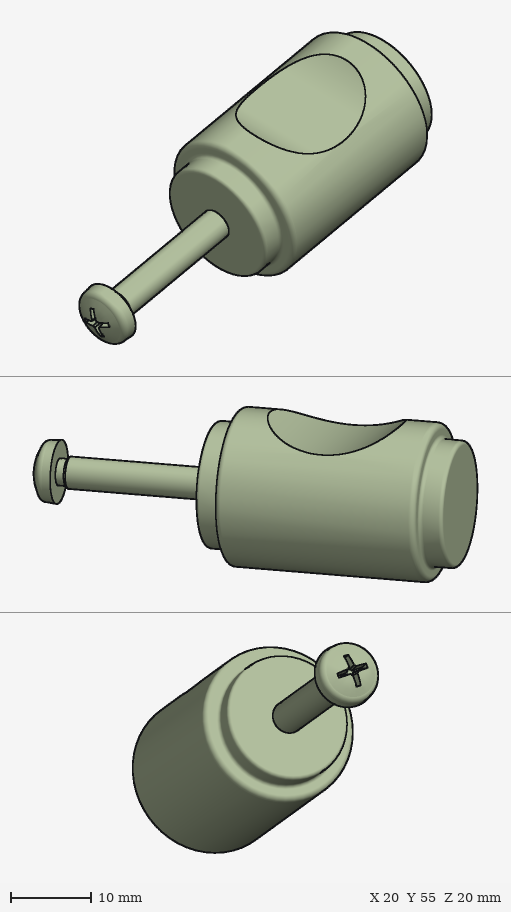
import cadquery as cq
import math

total_length = 55.05
barrel_radius = 9.995
collar_radius = 8.0
knob_length = 32.0
collar_length = 3.05
barrel_fillet = 0.75
collar_fillet = 0.5

dish_depth = 2.9
dish_radius = 14.3

shank_radius = 2.05
neck_radius = 1.7
neck_length = 1.05
shank_chamfer = shank_radius - neck_radius
engagement = 9.9
head_radius = 4.0
rim_radius = 3.9
dome_radius = 3.25
head_height = 3.1
rim_height = 1.15
dome_start = 2.15
rim_bulge = 0.2

recess_span = 4.3
recess_width = 0.7
recess_depth = 1.4
recess_taper = 10
recess_turn = 24
recess_centre_radius = 0.65

tip_y = knob_length - total_length
head_y = tip_y + head_height
shank_y = head_y + neck_length


def cylinder_along_y(radius, start, end):
    """Solid cylinder on the Y axis from start to end."""
    return cq.Workplane("XZ", origin=(0, start, 0)).circle(radius).extrude(start - end)


def make_knob():
    """Barrel with a collar at each end, a finger dish and a blind screw hole."""
    barrel_end = knob_length - collar_length
    barrel = cylinder_along_y(barrel_radius, collar_length, barrel_end).edges().fillet(barrel_fillet)
    collars = cylinder_along_y(collar_radius, 0, knob_length).edges().fillet(collar_fillet)
    knob = barrel.union(collars)

    for shoulder_y in (collar_length, barrel_end):
        root = cq.selectors.BoxSelector(
            (-barrel_radius, shoulder_y - collar_fillet / 2, -barrel_radius),
            (barrel_radius, shoulder_y + collar_fillet / 2, barrel_radius),
            boundingbox=True,
        )
        collar_root = knob.edges(root).edges("%CIRCLE").edges(cq.selectors.RadiusNthSelector(0))
        knob = collar_root.fillet(collar_fillet)

    dish_centre_z = barrel_radius - dish_depth + dish_radius
    dish = (
        cq.Workplane("YZ")
        .center(knob_length / 2, dish_centre_z)
        .circle(dish_radius)
        .extrude(barrel_radius, both=True)
    )
    screw_hole = cylinder_along_y(shank_radius, 0, engagement)
    return knob.cut(dish).cut(screw_hole)


def make_cross_recess():
    """Tapered cross-shaped cutter with a conical centre, reaching in from the tip of the head."""
    mouth = cq.Workplane("XZ", origin=(0, tip_y, 0)).transformed(rotate=(0, 0, recess_turn))
    arms = [
        mouth.rect(length, width).extrude(-recess_depth, taper=recess_taper)
        for length, width in ((recess_span, recess_width), (recess_width, recess_span))
    ]
    centre = mouth.circle(recess_centre_radius).extrude(-recess_depth, taper=recess_taper)
    return arms[0].union(arms[1]).union(centre)


def make_screw():
    """Revolved shank, neck and domed head, with a cross recess."""
    shoulder_run = rim_radius - dome_radius
    shoulder_rise = dome_start - rim_height
    shoulder_chord = math.hypot(shoulder_run, shoulder_rise)
    shoulder_middle = (
        (rim_radius + dome_radius) / 2 + rim_bulge * shoulder_rise / shoulder_chord,
        head_y - (rim_height + dome_start) / 2 - rim_bulge * shoulder_run / shoulder_chord,
    )

    dome_rise = head_height - dome_start
    sphere_radius = (dome_radius**2 + dome_rise**2) / (2 * dome_rise)
    half_angle = math.asin(dome_radius / sphere_radius) / 2
    dome_middle = (
        sphere_radius * math.sin(half_angle),
        tip_y + sphere_radius * (1 - math.cos(half_angle)),
    )

    body = (
        cq.Workplane("XY")
        .moveTo(0, engagement)
        .lineTo(shank_radius, engagement)
        .lineTo(shank_radius, shank_y + shank_chamfer)
        .lineTo(neck_radius, shank_y)
        .lineTo(neck_radius, head_y)
        .lineTo(head_radius, head_y)
        .lineTo(rim_radius, head_y - rim_height)
        .threePointArc(shoulder_middle, (dome_radius, head_y - dome_start))
        .threePointArc(dome_middle, (0, tip_y))
        .close()
        .revolve(360, (0, 0, 0), (0, 1, 0))
    )
    return body.cut(make_cross_recess())


knob = make_knob()
screw = make_screw()
result = cq.Compound.makeCompound([*knob.solids().vals(), *screw.solids().vals()])